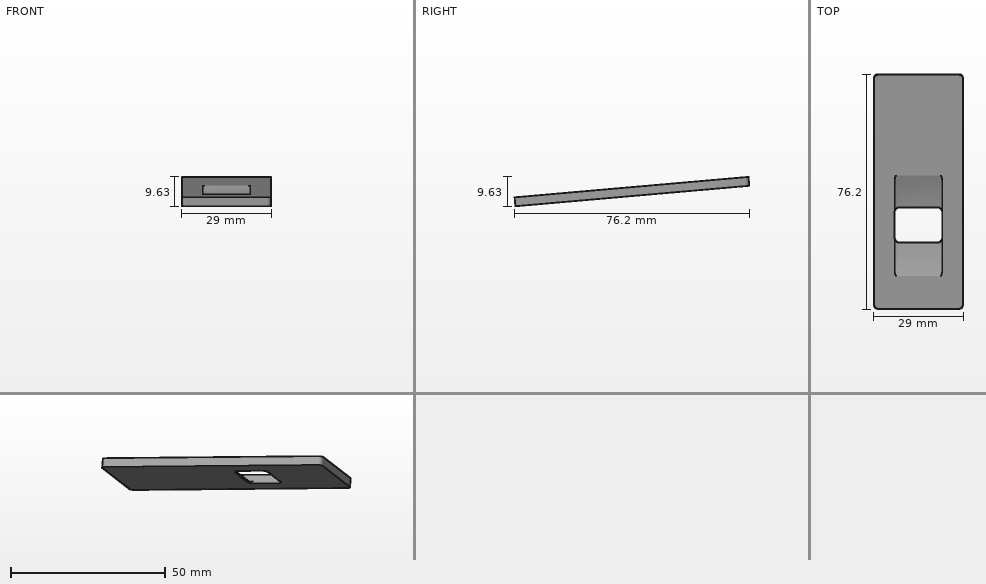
import cadquery as cq
import math

overall_length = 76.2
width = 28.95
thickness = 3.0
tilt = 5.0
corner_radius = 1.4
tilt_rad = math.radians(tilt)
length = (overall_length - thickness * math.sin(tilt_rad)) / math.cos(tilt_rad)

dish_width = 15.4
dish_length = 32.6
dish_radius = 50.0
dish_side_fillet = 0.5
dish_center_y = 27.1 - length / 2

window_length = 11.4
window_corner_radius = 1.5


def make_plate():
    """Flat plate with rounded corners and its top face at Z = 0."""
    plate = cq.Workplane("XY").box(width, length, thickness, centered=(True, True, False))
    return plate.edges("|Z").fillet(corner_radius).translate((0, 0, -thickness))


def make_dish():
    """Wide disc with rounded rims whose lowest part sinks into the top face."""
    half_chord = dish_length / 2
    axis_height = math.sqrt(dish_radius**2 - half_chord**2)
    disc = cq.Workplane("YZ").circle(dish_radius).extrude(dish_width / 2, both=True)
    rounded_disc = disc.edges("%CIRCLE").fillet(dish_side_fillet)
    return rounded_disc.translate((0, dish_center_y, axis_height))


def make_window():
    """Rounded rectangular opening through the full thickness."""
    window = cq.Workplane("XY").box(dish_width, window_length, 2 * thickness)
    return window.edges("|Z").fillet(window_corner_radius).translate((0, dish_center_y, 0))


flat_part = make_plate().cut(make_dish()).cut(make_window())
result = flat_part.rotate((0, 0, 0), (1, 0, 0), tilt)